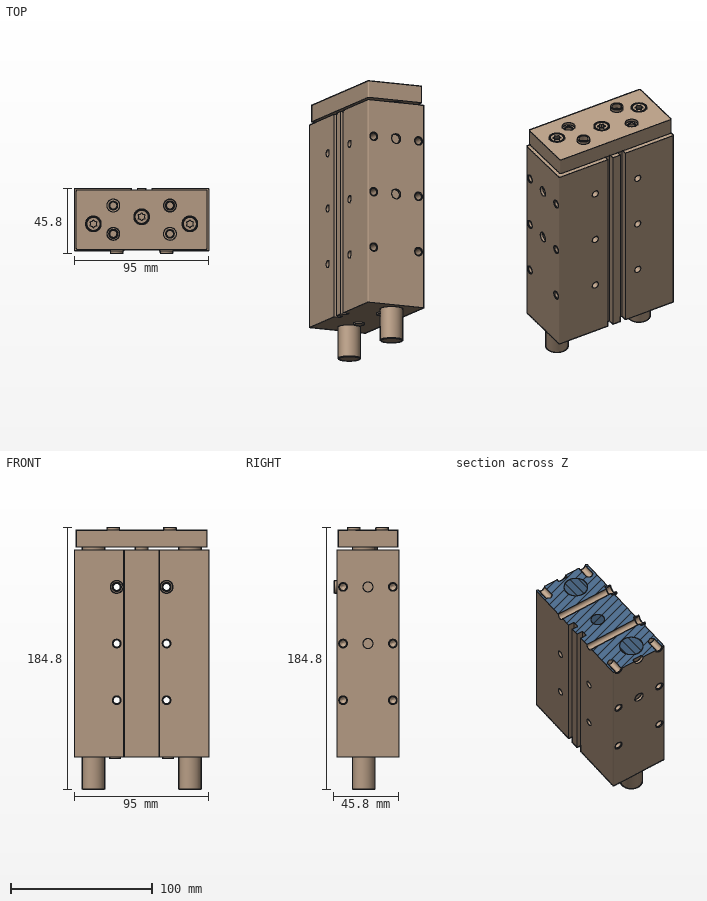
import cadquery as cq
import math

HOUSING_WIDTH = 95.0
HOUSING_DEPTH = 44.0
HOUSING_HEIGHT = 146.0
HOUSING_EDGE_FILLET = 0.7
FRONT_Y = -HOUSING_DEPTH / 2
BACK_Y = HOUSING_DEPTH / 2

PANEL_WIDTH = 24.4
PANEL_DEPTH = 0.5

SLOT_WIDTH = 4.3
SLOT_DEPTH = 4.6
SLOT_X = 5.2

ROW_PITCH = 40.0
TOP_ROW_DROP = 26.0
ROW_HEIGHTS = [HOUSING_HEIGHT - TOP_ROW_DROP - row * ROW_PITCH for row in range(3)]
MOUNT_OFFSET = 17.5
THREAD_DIAMETER = 5.0
THREAD_CHAMFER = 0.5
SIDE_HOLE_DEPTH = 10.0
DRILL_POINT_ANGLE = 118
CENTRING_DIAMETER = 7.0
CENTRING_DEPTH = 2.0

PAD_DIAMETER = 7.8
PAD_HEIGHT = 1.1
PAD_X = 18.7

PLATE_GAP = 2.0
PLATE_WIDTH = 92.2
PLATE_DEPTH = 42.1
PLATE_HEIGHT = 12.0
PLATE_EDGE_FILLET = 1.0
PLATE_BOTTOM = HOUSING_HEIGHT + PLATE_GAP
PLATE_TOP = PLATE_BOTTOM + PLATE_HEIGHT
PLATE_HOLE_X = 20.0
PLATE_HOLE_Y = 10.0

GUIDE_DIAMETER = 16.0
GUIDE_X = 34.0
GUIDE_Y = -3.0
GUIDE_OVERHANG = 23.0
GUIDE_END_CHAMFER = 0.5
GUIDE_POINTS = [(-GUIDE_X, GUIDE_Y), (GUIDE_X, GUIDE_Y)]

PISTON_ROD_DIAMETER = 9.0
PISTON_ROD_INSERTION = 74.0
PISTON_POINT = (0, 2.0)

SCREW_POINTS = [*GUIDE_POINTS, PISTON_POINT]
SCREW_HEAD_DIAMETER = 10.0
SCREW_HEAD_HEIGHT = 6.0
SCREW_HEAD_CHAMFER = 0.4
SCREW_BORE_DIAMETER = 11.0
SOCKET_OUTER_RADIUS = 2.8
SOCKET_INNER_RADIUS = 2.0
SOCKET_LOBES = 6
SOCKET_DEPTH = 3.0

SLEEVE_DIAMETER = 9.0
SLEEVE_BORE = 6.5
SLEEVE_PROTRUSION = 1.8
SLEEVE_SEAT_DEPTH = 2.0
SLEEVE_TAPER_HEIGHT = 1.0
SLEEVE_TAPER = 0.2
PLATE_SLEEVE_POINTS = [(-PLATE_HOLE_X, -PLATE_HOLE_Y), (PLATE_HOLE_X, PLATE_HOLE_Y)]
FRONT_SLEEVE_POINTS = [(-MOUNT_OFFSET, ROW_HEIGHTS[0]), (MOUNT_OFFSET, ROW_HEIGHTS[0])]


def cylinder(diameter, height, start, direction):
    """Solid cylinder that grows from a start point along a direction."""
    return cq.Solid.makeCylinder(diameter / 2, height, cq.Vector(*start), cq.Vector(*direction))


def cone(large_diameter, small_diameter, height, start, direction):
    """Solid cone that narrows from a start point along a direction."""
    return cq.Solid.makeCone(
        large_diameter / 2, small_diameter / 2, height, cq.Vector(*start), cq.Vector(*direction)
    )


def chamfer_cutter(start, direction):
    """Cutter for the 45 degree lead-in of a threaded hole."""
    mouth = THREAD_DIAMETER + 2 * THREAD_CHAMFER
    return cone(mouth, THREAD_DIAMETER, THREAD_CHAMFER, start, direction)


def cut_front_panel(body):
    half_floor = PANEL_WIDTH / 2
    half_mouth = half_floor + PANEL_DEPTH
    floor_y = FRONT_Y + PANEL_DEPTH
    panel = (
        cq.Workplane("XY")
        .polyline([
            (-half_mouth, FRONT_Y), (half_mouth, FRONT_Y), (half_floor, floor_y), (-half_floor, floor_y),
        ])
        .close()
        .extrude(HOUSING_HEIGHT)
    )
    return body.cut(panel)


def cut_sensor_slots(body):
    slots = (
        cq.Workplane("XY")
        .pushPoints([(-SLOT_X, BACK_Y), (SLOT_X, BACK_Y)])
        .rect(SLOT_WIDTH, 2 * SLOT_DEPTH)
        .extrude(HOUSING_HEIGHT)
    )
    return body.cut(slots)


def cut_front_holes(body):
    """Threaded holes straight through the depth, with sleeve seats in the top row."""
    inward = (0, 1, 0)
    for x in (-MOUNT_OFFSET, MOUNT_OFFSET):
        for z in ROW_HEIGHTS:
            body = body.cut(cylinder(THREAD_DIAMETER, HOUSING_DEPTH, (x, FRONT_Y, z), inward))
            mouth_y = FRONT_Y
            if z == ROW_HEIGHTS[0]:
                body = body.cut(cylinder(SLEEVE_DIAMETER, SLEEVE_SEAT_DEPTH, (x, FRONT_Y, z), inward))
                mouth_y = FRONT_Y + SLEEVE_SEAT_DEPTH
            body = body.cut(chamfer_cutter((x, mouth_y, z), inward))
    return body


def cut_side_holes(body):
    """Blind threaded holes with drill points in both side faces."""
    point_height = THREAD_DIAMETER / 2 / math.tan(math.radians(DRILL_POINT_ANGLE / 2))
    for side in (-1, 1):
        face_x = side * HOUSING_WIDTH / 2
        floor_x = face_x - side * SIDE_HOLE_DEPTH
        inward = (-side, 0, 0)
        for y in (-MOUNT_OFFSET, MOUNT_OFFSET):
            for z in ROW_HEIGHTS:
                body = body.cut(cylinder(THREAD_DIAMETER, SIDE_HOLE_DEPTH, (face_x, y, z), inward))
                body = body.cut(cone(THREAD_DIAMETER, 0, point_height, (floor_x, y, z), inward))
                body = body.cut(chamfer_cutter((face_x, y, z), inward))
    return body


def cut_side_centring_recesses(body):
    """Shallow flat recesses between the upper two rows of side holes."""
    for side in (-1, 1):
        for z in ROW_HEIGHTS[:2]:
            face_point = (side * HOUSING_WIDTH / 2, 0, z)
            body = body.cut(cylinder(CENTRING_DIAMETER, CENTRING_DEPTH, face_point, (-side, 0, 0)))
    return body


def cut_rod_bores(body):
    for x, y in GUIDE_POINTS:
        body = body.cut(cylinder(GUIDE_DIAMETER, HOUSING_HEIGHT, (x, y, 0), (0, 0, 1)))
    top_point = (*PISTON_POINT, HOUSING_HEIGHT)
    return body.cut(cylinder(PISTON_ROD_DIAMETER, PISTON_ROD_INSERTION, top_point, (0, 0, -1)))


def add_bottom_pads(body):
    for x in (-PAD_X, PAD_X):
        body = body.union(
            cq.Workplane("XY", origin=(x, GUIDE_Y, -PAD_HEIGHT))
            .circle(PAD_DIAMETER / 2)
            .extrude(PAD_HEIGHT)
        )
    return body


def make_housing():
    body = (
        cq.Workplane("XY")
        .rect(HOUSING_WIDTH, HOUSING_DEPTH)
        .extrude(HOUSING_HEIGHT)
        .edges("|Z")
        .fillet(HOUSING_EDGE_FILLET)
    )
    body = cut_front_panel(body)
    body = cut_sensor_slots(body)
    body = cut_front_holes(body)
    body = cut_side_holes(body)
    body = cut_side_centring_recesses(body)
    body = cut_rod_bores(body)
    return add_bottom_pads(body)


def make_plate():
    plate = (
        cq.Workplane("XY", origin=(0, 0, PLATE_BOTTOM))
        .rect(PLATE_WIDTH, PLATE_DEPTH)
        .extrude(PLATE_HEIGHT)
        .edges("|Z")
        .fillet(PLATE_EDGE_FILLET)
    )
    down = (0, 0, -1)
    for x in (-PLATE_HOLE_X, PLATE_HOLE_X):
        for y in (-PLATE_HOLE_Y, PLATE_HOLE_Y):
            seat_floor = (x, y, PLATE_TOP - SLEEVE_SEAT_DEPTH)
            plate = plate.cut(cylinder(SLEEVE_DIAMETER, SLEEVE_SEAT_DEPTH, (x, y, PLATE_TOP), down))
            plate = plate.cut(cylinder(THREAD_DIAMETER, PLATE_HEIGHT, (x, y, PLATE_TOP), down))
            plate = plate.cut(chamfer_cutter(seat_floor, down))
    for x, y in SCREW_POINTS:
        plate = plate.cut(cylinder(SCREW_BORE_DIAMETER, SCREW_HEAD_HEIGHT, (x, y, PLATE_TOP), down))
    return plate


def make_guide_rod(point):
    return (
        cq.Workplane("XY", origin=(*point, -GUIDE_OVERHANG))
        .circle(GUIDE_DIAMETER / 2)
        .extrude(GUIDE_OVERHANG + PLATE_BOTTOM)
        .faces("<Z")
        .chamfer(GUIDE_END_CHAMFER)
    )


def make_yoke():
    yoke = make_plate()
    for point in GUIDE_POINTS:
        yoke = yoke.union(make_guide_rod(point))
    return yoke


def make_piston_rod():
    return (
        cq.Workplane("XY", origin=(*PISTON_POINT, HOUSING_HEIGHT - PISTON_ROD_INSERTION))
        .circle(PISTON_ROD_DIAMETER / 2)
        .extrude(PISTON_ROD_INSERTION + PLATE_GAP)
    )


def socket_outline():
    """Six-pointed star, alternating between the outer and inner radius."""
    points = []
    for index in range(2 * SOCKET_LOBES):
        radius = SOCKET_INNER_RADIUS if index % 2 else SOCKET_OUTER_RADIUS
        angle = math.pi / 2 + index * math.pi / SOCKET_LOBES
        points.append((radius * math.cos(angle), radius * math.sin(angle)))
    return points


def make_screw(point):
    """Screw head flush with the plate top, standing on the floor of its counterbore."""
    head = (
        cq.Workplane("XY", origin=(*point, PLATE_TOP - SCREW_HEAD_HEIGHT))
        .circle(SCREW_HEAD_DIAMETER / 2)
        .extrude(SCREW_HEAD_HEIGHT)
        .faces(">Z")
        .chamfer(SCREW_HEAD_CHAMFER)
    )
    socket = (
        cq.Workplane("XY", origin=(*point, PLATE_TOP - SOCKET_DEPTH))
        .polyline(socket_outline())
        .close()
        .extrude(SOCKET_DEPTH)
    )
    return head.cut(socket)


def make_sleeve(face_point, outward):
    """Sleeve seated in a face, with a slight taper around its outer end."""
    plane = cq.Plane(origin=face_point, xDir=(1, 0, 0), normal=outward)
    solid_sleeve = (
        cq.Workplane(plane)
        .workplane(offset=-SLEEVE_SEAT_DEPTH)
        .circle(SLEEVE_DIAMETER / 2)
        .extrude(SLEEVE_SEAT_DEPTH + SLEEVE_PROTRUSION)
        .faces(cq.selectors.DirectionMinMaxSelector(cq.Vector(*outward), True))
        .chamfer(SLEEVE_TAPER_HEIGHT, SLEEVE_TAPER)
    )
    bore = (
        cq.Workplane(plane)
        .workplane(offset=-SLEEVE_SEAT_DEPTH)
        .circle(SLEEVE_BORE / 2)
        .extrude(SLEEVE_SEAT_DEPTH + SLEEVE_PROTRUSION)
    )
    return solid_sleeve.cut(bore)


housing = make_housing()
yoke = make_yoke()
piston_rod = make_piston_rod()
screws = [make_screw(point) for point in SCREW_POINTS]
sleeves = [make_sleeve((x, y, PLATE_TOP), (0, 0, 1)) for x, y in PLATE_SLEEVE_POINTS]
sleeves += [make_sleeve((x, FRONT_Y, z), (0, -1, 0)) for x, z in FRONT_SLEEVE_POINTS]

result = cq.Compound.makeCompound([
    housing.val(),
    yoke.val(),
    piston_rod.val(),
    *[screw.val() for screw in screws],
    *[sleeve.val() for sleeve in sleeves],
])